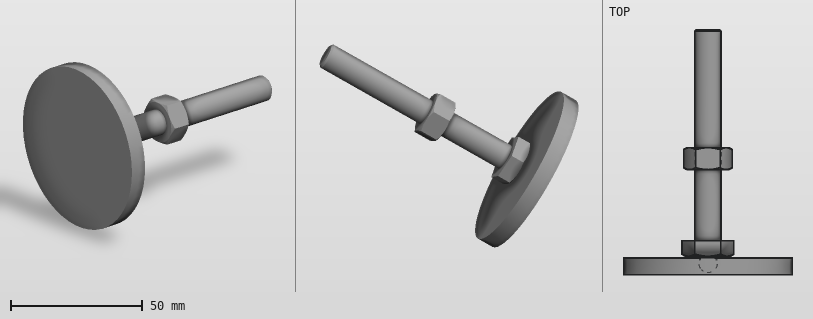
import cadquery as cq
import math

OVERALL_LENGTH = 93.0

FOOT_DIAMETER = 64.0
FOOT_THICKNESS = 6.5

ROD_DIAMETER = 10.0
ROD_TIP_CHAMFER = 0.7
COLLAR_ACROSS_FLATS = 17.0
COLLAR_START = 7.1
COLLAR_END = 13.0
BALL_DIAMETER = 7.1
BALL_CENTER = 4.6

NUT_ACROSS_FLATS = 16.0
NUT_START = 39.9
NUT_HEIGHT = 8.4

BEVEL_ANGLE = 30.0
BEVEL_FACE_RATIO = 0.99


def cylinder(diameter, start, end):
    """Cylinder along +Y between two stations."""
    return (
        cq.Workplane("XZ", origin=(0, start, 0))
        .circle(diameter / 2)
        .extrude(start - end)
    )


def hexagon(across_flats, start, end, bevel_end):
    """Hexagonal prism with corners on X, bevelled at its start and optionally its end."""
    corner_diameter = across_flats / math.cos(math.radians(30))
    prism = (
        cq.Workplane("XZ", origin=(0, start, 0))
        .polygon(6, corner_diameter)
        .extrude(start - end)
    )
    corner_radius = corner_diameter / 2
    face_radius = BEVEL_FACE_RATIO * across_flats / 2
    bevel_height = (corner_radius - face_radius) * math.tan(math.radians(BEVEL_ANGLE))
    envelope = cylinder(corner_diameter, start, end)
    beveled_faces = "<Y or >Y" if bevel_end else "<Y"
    envelope = envelope.faces(beveled_faces).chamfer(bevel_height, corner_radius - face_radius)
    return prism.intersect(envelope)


def make_ball():
    return cq.Workplane("XY").sphere(BALL_DIAMETER / 2).translate((0, BALL_CENTER, 0))


def make_foot():
    """Disc with a spherical socket for the spindle's ball."""
    return cylinder(FOOT_DIAMETER, 0, FOOT_THICKNESS).cut(make_ball())


def make_spindle():
    rod = cylinder(ROD_DIAMETER, COLLAR_START, OVERALL_LENGTH).faces(">Y").chamfer(ROD_TIP_CHAMFER)
    collar = hexagon(COLLAR_ACROSS_FLATS, COLLAR_START, COLLAR_END, bevel_end=False)
    return rod.union(collar).union(make_ball())


def make_lock_nut():
    nut_end = NUT_START + NUT_HEIGHT
    nut = hexagon(NUT_ACROSS_FLATS, NUT_START, nut_end, bevel_end=True)
    return nut.cut(cylinder(ROD_DIAMETER, NUT_START, nut_end))


foot = make_foot()
spindle = make_spindle()
lock_nut = make_lock_nut()

result = cq.Compound.makeCompound([foot.val(), spindle.val(), lock_nut.val()])